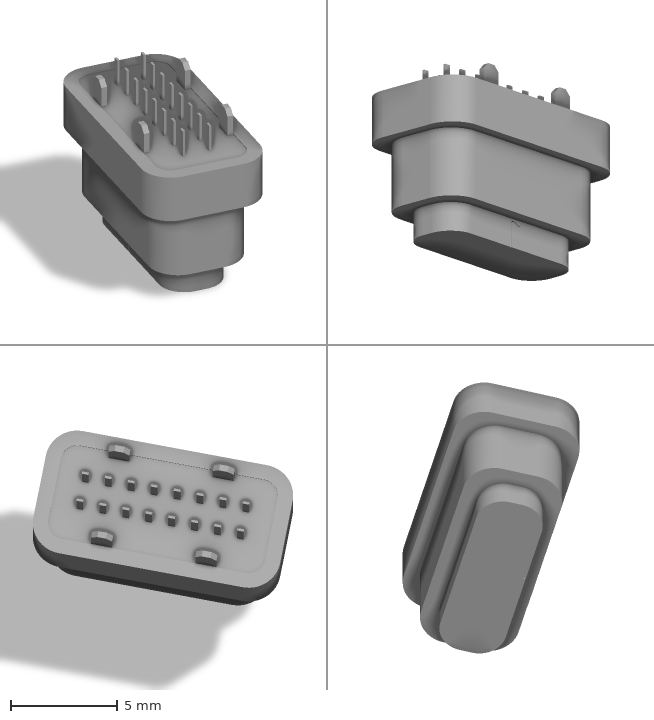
import cadquery as cq
import math

flange_length = 11.85
flange_depth = 6.1
flange_height = 2.32
body_length = 10.55
body_depth = 4.76
body_height = 3.37
corner_radius = 1.5
plug_length = 8.98
plug_depth = 3.2
plug_height = 1.42
plug_radius = 1.29

seam_half_span = 0.35
seam_bend_radius = 0.15
seam_centre_drop = 0.19
seam_bend_rise = 0.08
seam_width = 0.04
seam_depth = 0.12

rim_width = 0.72
recess_floor_drop = 0.05

terminal_height = 1.29

pin_columns = 8
pin_rows = 2
pin_pitch = 1.1
pin_row_spacing = 1.35
pin_width = 0.32
pin_thickness = 0.12

tab_columns = 2
tab_rows = 2
tab_spacing = 5.01
tab_width = 1.01
tab_thickness = 0.3
tab_outer_span = 4.6
tab_chamfer = 0.3


def rounded_block(length, depth, height, radius, top):
    """Block with rounded vertical edges, hanging down from the level `top`."""
    block = cq.Workplane("XY").box(length, depth, height, centered=(True, True, False))
    return block.edges("|Z").fillet(radius).translate((0, 0, top - height))


def terminal(width, thickness):
    """Upright strip from the recess floor to the terminal tips."""
    height = terminal_height + recess_floor_drop
    strip = cq.Workplane("XY").box(width, thickness, height, centered=(True, True, False))
    return strip.translate((0, 0, -recess_floor_drop))


def place(shape, columns, column_spacing, rows, row_spacing):
    """Copies of a shape on a grid centred on the origin."""
    grid = cq.Workplane("XY").rarray(column_spacing, row_spacing, columns, rows)
    return grid.eachpoint(lambda location: shape.val().moved(location))


def seam_groove(top):
    """Narrow groove: up from the plug bottom, over an S bend, and on to `top`.

    The S is two equal arcs joined by a sloping line tangent to both, and has
    half-turn symmetry about its middle (x = 0, z = middle).
    """
    middle = top - seam_centre_drop
    bend_x = seam_half_span - seam_bend_radius
    bend_distance = math.hypot(bend_x, seam_bend_rise)
    bend_direction = math.atan2(seam_bend_rise, bend_x)
    slope = math.asin(seam_bend_radius / bend_distance) - bend_direction

    def on_bend(side, angle):
        """Point on the left (side = -1) or right (side = 1) arc; angle 0 is the outer end."""
        x = bend_x + seam_bend_radius * math.cos(angle)
        z = seam_bend_rise - seam_bend_radius * math.sin(angle)
        return (side * x, middle + side * z)

    bend_angle = math.pi / 2 + slope
    path = (
        cq.Workplane("XZ", origin=(0, -plug_depth / 2, 0))
        .moveTo(-seam_half_span, top - plug_height)
        .lineTo(*on_bend(-1, 0))
        .threePointArc(on_bend(-1, bend_angle / 2), on_bend(-1, bend_angle))
        .lineTo(*on_bend(1, bend_angle))
        .threePointArc(on_bend(1, bend_angle / 2), on_bend(1, 0))
        .lineTo(seam_half_span, top)
    )
    return path.offset2D(seam_width / 2).extrude(-seam_depth)


flange = rounded_block(flange_length, flange_depth, flange_height, corner_radius, 0)
body = rounded_block(body_length, body_depth, body_height, corner_radius, -flange_height)
plug_top = -flange_height - body_height
plug = rounded_block(plug_length, plug_depth, plug_height, plug_radius, plug_top)
plug = plug.cut(seam_groove(plug_top))
recess = rounded_block(
    flange_length - 2 * rim_width,
    flange_depth - 2 * rim_width,
    recess_floor_drop,
    corner_radius - rim_width,
    0,
)
housing = flange.union(body).union(plug).cut(recess)

pins = place(terminal(pin_width, pin_thickness), pin_columns, pin_pitch, pin_rows, pin_row_spacing)
tab = terminal(tab_width, tab_thickness).faces(">Z").edges("|Y").chamfer(tab_chamfer)
tabs = place(tab, tab_columns, tab_spacing, tab_rows, tab_outer_span - tab_thickness)

result = housing.union(pins).union(tabs)